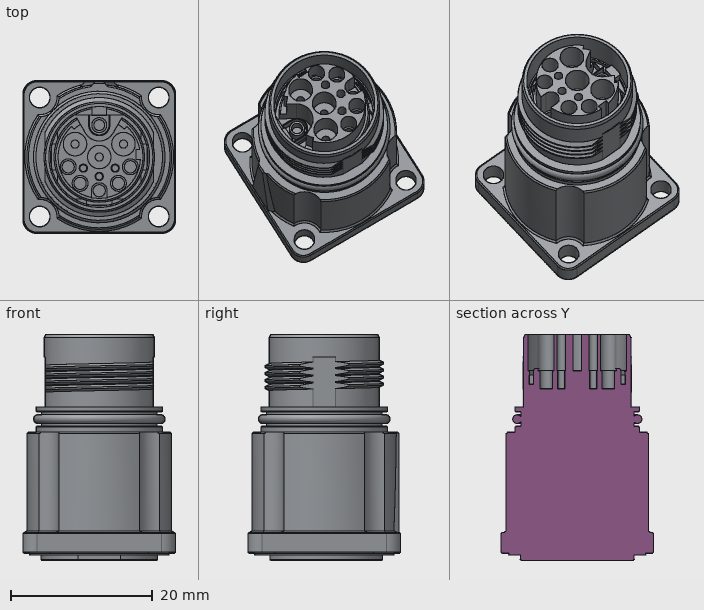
import cadquery as cq
import math

total_height = 31.95
spigot_height = 0.77
flange_bottom = 1.02
flange_top = 4.0
skirt_height = 0.22
body_top = 18.15
lower_collar_top = 18.98
upper_collar_bottom = 21.0
upper_collar_top = 21.73
flat_top = 28.75

flange_side = 21.6
flange_corner_radius = 1.98
flange_edge_chamfer = 0.2
hole_offset = 8.4
hole_radius = 1.45
spigot_radius = 8.25
spigot_flat_offset = 7.67
spigot_chamfer = 0.15
seat_radius = 9.85

body_radius = 10.22
scallop_radius = 2.7
skirt_spread = 0.3
body_top_chamfer = 0.22

wedge_face_offset = 10.58
wedge_top_half_width = 0.5
wedge_bottom_half_width = 2.17
wedge_depth = 0.95
wedge_taper_angle = 45

collar_radius = 8.95
collar_chamfer = 0.13
neck_radius = 8.18
ring_outer_radius = 9.3
ring_section_radius = 0.65
ring_height = (lower_collar_top + upper_collar_bottom) / 2

sleeve_radius = 7.8
rim_radius = 7.57
rim_chamfer_height = 0.45
flat_offset = 7.65
thread_crest_radius = 8.4
thread_pitch = 1.0
thread_turns = 4
thread_start = 24.2
thread_root_width = 0.95
thread_crest_width = 0.22
thread_embed = 0.1

bore_radius = 7.12
recess_radius = 6.9
recess_side = 11.82
bore_step = 26.85
bore_bottom = 26.2
recess_bottom = 24.92
ledge_slot_width = 3.6
ledge_slot_outer = 6.77

insert_radius = 5.8
step_radius = 5.3
insert_collar_radius = 6.4
insert_collar_top = 27.15
insert_collar_chamfer = 0.22
step_half_angle = 42
earth_offset = 4.5
earth_half_angle = 30
key_notch_inner = 5.18
key_notch_low = -0.35
key_notch_high = 1.05

power_radius = 1.65
power_bottom_radius = 0.58
power_offset_x = 3.42
power_offset_y = 1.82
signal_radius = 1.12
signal_bottom_radius = 0.85
signal_circle_radius = 4.6
signal_angles = (-162.5, -126, -54, -17.5)
open_signal_offset = 4.75
small_radius = 0.58
small_bottom_radius = 0.48
small_circle_radius = 2.75
small_angles = (-145, -90, -35)
cavity_depth = 5.1
cavity_bottom_depth = 7.67

earth_half_width = 1.5
earth_pocket_half_width = 1.37
earth_pocket_bottom = 25.55
earth_tube_radius = 1.05
earth_bore_radius = 0.77
earth_top = 27.48
earth_lug_half_width = 1.02
earth_lug_start = 5.88


def cylinder(radius, bottom, top, x=0.0, y=0.0):
    return cq.Workplane("XY", origin=(x, y, bottom)).circle(radius).extrude(top - bottom)


def block(x_low, x_high, y_low, y_high, bottom, top):
    return cq.Workplane("XY").box(
        x_high - x_low, y_high - y_low, top - bottom, centered=False
    ).translate((x_low, y_low, bottom))


def polar(radius, angle):
    radians = math.radians(angle)
    return radius * math.cos(radians), radius * math.sin(radians)


def make_flange():
    flange = (
        cq.Workplane("XY", origin=(0, 0, flange_bottom))
        .rect(flange_side, flange_side)
        .extrude(flange_top - flange_bottom)
        .edges("|Z").fillet(flange_corner_radius)
        .faces("<Z or >Z").chamfer(flange_edge_chamfer)
    )
    spigot = cylinder(spigot_radius, 0, spigot_height)
    spigot = spigot.intersect(
        block(-spigot_radius, spigot_radius, -spigot_flat_offset, spigot_radius, 0, spigot_height)
    )
    spigot = spigot.faces("<Z").chamfer(spigot_chamfer)
    seat = cylinder(seat_radius, spigot_height, flange_bottom)
    holes = (
        cq.Workplane("XY", origin=(0, 0, flange_bottom))
        .rect(2 * hole_offset, 2 * hole_offset, forConstruction=True)
        .vertices().circle(hole_radius)
        .extrude(flange_top - flange_bottom)
    )
    return flange.union(seat).union(spigot).cut(holes)


def body_outline(workplane, spread):
    """Circle with a concave scallop around each flange hole, grown outward by spread."""
    radius = body_radius + spread
    scallop = scallop_radius - spread
    hole_distance = hole_offset * math.sqrt(2)
    half_angle = math.degrees(math.acos(
        (radius**2 + hole_distance**2 - scallop**2) / (2 * radius * hole_distance)
    ))
    outline = workplane.moveTo(*polar(radius, half_angle - 45))
    for middle in (0, 90, 180, 270):
        outline = outline.threePointArc(
            polar(radius, middle), polar(radius, middle + 45 - half_angle)
        )
        outline = outline.threePointArc(
            polar(hole_distance - scallop, middle + 45), polar(radius, middle + 45 + half_angle)
        )
    return outline.close()


def make_body():
    column = body_outline(cq.Workplane("XY", origin=(0, 0, flange_top)), 0)
    column = column.extrude(body_top - flange_top)
    top_cone = cylinder(body_radius, flange_top, body_top).faces(">Z").chamfer(body_top_chamfer)
    skirt = body_outline(cq.Workplane("XY", origin=(0, 0, flange_top)), skirt_spread)
    skirt = body_outline(skirt.workplane(offset=skirt_height), 0).loft(ruled=True)
    return column.intersect(top_cone).union(skirt)


def make_wedge():
    """Upward-narrowing wedge with sloped edges, rooted in the body wall."""
    grow = wedge_depth * math.tan(math.radians(wedge_taper_angle))
    root_plane = cq.Plane(
        origin=(0, wedge_face_offset - wedge_depth, 0), xDir=(-1, 0, 0), normal=(0, 1, 0)
    )
    bottom_height = flange_top - grow
    top_height = body_top - body_top_chamfer + grow
    bottom_half = wedge_bottom_half_width + grow
    top_half = wedge_top_half_width + grow
    wedge = (
        cq.Workplane(root_plane)
        .polyline([
            (-bottom_half, bottom_height),
            (bottom_half, bottom_height),
            (top_half, top_height),
            (-top_half, top_height),
        ])
        .close()
        .extrude(wedge_depth, taper=wedge_taper_angle)
    )
    above_flange = block(
        -flange_side / 2, flange_side / 2, 0, flange_side / 2, flange_top, body_top
    )
    return wedge.intersect(above_flange)


def make_collars():
    lower = cylinder(collar_radius, body_top, lower_collar_top).faces(">Z").chamfer(collar_chamfer)
    upper = cylinder(collar_radius, upper_collar_bottom, upper_collar_top)
    upper = upper.faces("<Z").chamfer(collar_chamfer)
    neck = cylinder(neck_radius, lower_collar_top, upper_collar_bottom)
    ring_path_radius = ring_outer_radius - ring_section_radius
    section_plane = cq.Plane(
        origin=(ring_path_radius, 0, ring_height), xDir=(-1, 0, 0), normal=(0, 1, 0)
    )
    ring = (
        cq.Workplane(section_plane)
        .circle(ring_section_radius)
        .revolve(360, (ring_path_radius, 0), (ring_path_radius, 1))
    )
    return lower.union(neck).union(upper).union(ring)


def make_thread():
    """Right-handed trapezoidal ridge whose ends fall on the -X flat."""
    root_radius = sleeve_radius - thread_embed
    path = cq.Wire.makeHelix(thread_pitch, thread_pitch * thread_turns, root_radius)
    ridge = (
        cq.Workplane("XZ")
        .polyline([
            (root_radius, -thread_root_width / 2),
            (thread_crest_radius, -thread_crest_width / 2),
            (thread_crest_radius, thread_crest_width / 2),
            (root_radius, thread_root_width / 2),
        ])
        .close()
        .sweep(path, isFrenet=True)
    )
    return ridge.rotate((0, 0, 0), (0, 0, 1), 180).translate((0, 0, thread_start))


def make_sleeve():
    rim_inset = sleeve_radius - rim_radius
    sleeve = cylinder(sleeve_radius, upper_collar_top, total_height)
    sleeve = sleeve.faces(">Z").chamfer(rim_chamfer_height, rim_inset)
    sleeve = sleeve.union(make_thread())
    for low, high in ((-collar_radius, -flat_offset), (flat_offset, collar_radius)):
        sleeve = sleeve.cut(
            block(low, high, -collar_radius, collar_radius, upper_collar_top, flat_top)
        )
    return sleeve


def make_socket():
    """Space to remove around the insert: round bore, squared recess and ledge slots."""
    socket = cylinder(bore_radius, bore_step, total_height)
    socket = socket.union(cylinder(recess_radius, bore_bottom, bore_step))
    half_side = recess_side / 2
    recess = cylinder(recess_radius, recess_bottom, bore_bottom).intersect(
        block(-half_side, half_side, -half_side, half_side, recess_bottom, bore_bottom)
    )
    slot = block(
        half_side, ledge_slot_outer, -ledge_slot_width / 2, ledge_slot_width / 2,
        recess_bottom, bore_bottom,
    )
    socket = socket.union(recess)
    for angle in (0, 180, 270):
        socket = socket.union(slot.rotate((0, 0, 0), (0, 0, 1), angle))
    return socket


def make_insert():
    insert = cylinder(insert_radius, recess_bottom, total_height)

    tangent_radius = earth_offset * math.cos(math.radians(earth_half_angle))
    opening_radius = earth_offset * math.sin(math.radians(earth_half_angle))
    reach = 2 * insert_radius
    opening = (
        cq.Workplane("XY", origin=(0, 0, recess_bottom))
        .moveTo(*polar(reach, 90 + earth_half_angle))
        .lineTo(*polar(tangent_radius, 90 + earth_half_angle))
        .threePointArc(
            (0, earth_offset - opening_radius), polar(tangent_radius, 90 - earth_half_angle)
        )
        .lineTo(*polar(reach, 90 - earth_half_angle))
        .close()
        .extrude(total_height - recess_bottom)
    )

    lip_sector = (
        cq.Workplane("XY", origin=(0, 0, recess_bottom))
        .polyline([
            (0, 0),
            polar(reach, 90 - step_half_angle),
            polar(reach, 90 + step_half_angle),
        ])
        .close()
        .extrude(total_height - recess_bottom)
    )
    lip_step = lip_sector.cut(cylinder(step_radius, recess_bottom, total_height))

    key_notch = block(
        key_notch_inner, insert_radius, key_notch_low, key_notch_high,
        insert_collar_top, total_height
    )
    collar = cylinder(insert_collar_radius, recess_bottom, insert_collar_top)
    collar = collar.faces(">Z").chamfer(insert_collar_chamfer)
    return insert.cut(lip_step).cut(key_notch).union(collar).cut(opening)


def earth_prism(half_width, bottom):
    """Round toward the axis and straight-sided out to the edge of the recess."""
    prism = cylinder(half_width, bottom, earth_top, y=earth_offset)
    return prism.union(
        block(-half_width, half_width, earth_offset, recess_side / 2, bottom, earth_top)
    )


def make_earth_contact():
    wall = earth_prism(earth_half_width, recess_bottom)
    pocket = earth_prism(earth_pocket_half_width, earth_pocket_bottom)
    tube = cylinder(earth_tube_radius, recess_bottom, earth_top, y=earth_offset)
    bore = cylinder(earth_bore_radius, earth_pocket_bottom, earth_top, y=earth_offset)
    lug = block(
        -earth_lug_half_width, earth_lug_half_width, earth_lug_start, bore_radius,
        bore_bottom, earth_top,
    )
    return wall.cut(pocket).union(tube).cut(bore).union(lug)


def stepped_cavity(radius, bottom_radius, x, y):
    step = total_height - cavity_depth
    wide = cylinder(radius, step, total_height, x, y)
    return wide.union(cylinder(bottom_radius, total_height - cavity_bottom_depth, step, x, y))


def make_cavities():
    cavities = stepped_cavity(signal_radius, signal_bottom_radius, 0, -open_signal_offset)
    cavities = cavities.union(block(
        -signal_radius, signal_radius, -insert_radius, -open_signal_offset,
        total_height - cavity_depth, total_height,
    ))
    for x, y in ((0, 0), (-power_offset_x, power_offset_y), (power_offset_x, power_offset_y)):
        cavities = cavities.union(stepped_cavity(power_radius, power_bottom_radius, x, y))
    for angle in signal_angles:
        x, y = polar(signal_circle_radius, angle)
        cavities = cavities.union(stepped_cavity(signal_radius, signal_bottom_radius, x, y))
    for angle in small_angles:
        x, y = polar(small_circle_radius, angle)
        cavities = cavities.union(stepped_cavity(small_radius, small_bottom_radius, x, y))
    return cavities


shell = (
    make_flange()
    .union(make_body())
    .union(make_wedge())
    .union(make_collars())
    .union(make_sleeve())
    .cut(make_socket())
)
result = shell.union(make_insert()).union(make_earth_contact()).cut(make_cavities())